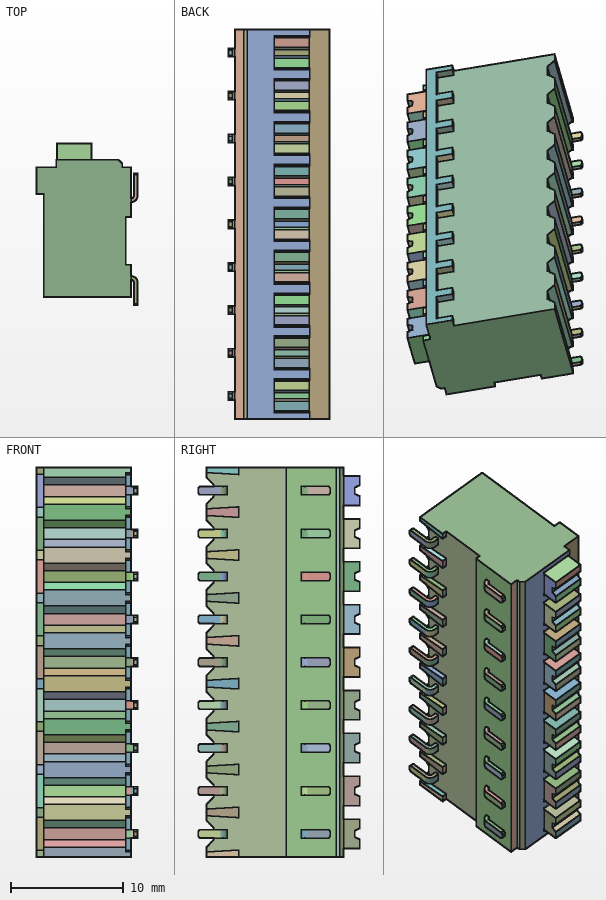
import cadquery as cq


height = 34.68
pole_count = 9
pitch = 3.8
first_pole_z = (height - (pole_count - 1) * pitch) / 2
pole_heights = [first_pole_z + i * pitch for i in range(pole_count)]

housing_left = 0.65
housing_right = 8.43
housing_front = 0.73
housing_back = 12.28
recess_depth = 0.45
recess_right = housing_right - recess_depth
recess_front = 3.6
recess_back = 7.85

ridge_left = 1.77
ridge_right = 7.65
ridge_back = 12.95
ridge_corner_cut = 0.35

rail_front = 11.35
rail_tab_front = 9.9
rail_window_width = 2.95

entry_depth = 0.65
entry_mouth = 2.4
entry_floor = 1.05

foot_gap_front_width = 3.23
foot_gap_back_width = 2.88

lever_left = 1.85
lever_right = 4.92
lever_back = 14.4
lever_width = 2.65
slot_mouth = 3.0
slot_floor = 2.8
notch_depth = 0.45
notch_mouth = 0.97
notch_floor = 0.55

pin_right = 9.0
pin_thickness = 0.35
pin_width = 0.75
pin_foot_length = 2.6
pin_bend_inner_radius = 0.25
pin_embed = 0.35
pin_tip_taper_length = 0.15
pin_tip_taper_width = 0.17
front_pin_tip = 0.0
back_pin_tip = 11.75


def box(x_range, y_range, z_range):
    """Axis-aligned block between pairs of limits."""
    (x0, x1), (y0, y1), (z0, z1) = x_range, y_range, z_range
    return cq.Workplane("XY").box(x1 - x0, y1 - y0, z1 - z0, centered=False).translate((x0, y0, z0))


def centred(middle, width):
    """Limits of a span of the given width about its middle."""
    return middle - width / 2, middle + width / 2


def trapezoid_bar(x_range, y_start, y_end, start_width, end_width, z):
    """Bar along X whose Z width changes from y_start to y_end."""
    outline = [
        (y_start, z - start_width / 2),
        (y_end, z - end_width / 2),
        (y_end, z + end_width / 2),
        (y_start, z + start_width / 2),
    ]
    x0, x1 = x_range
    return cq.Workplane("YZ", origin=(x0, 0, 0)).polyline(outline).close().extrude(x1 - x0)


def make_housing():
    """Full-height housing section including the left rail and the back ridge."""
    outline = [
        (housing_left, housing_front),
        (housing_right, housing_front),
        (housing_right, recess_front),
        (recess_right, recess_front),
        (recess_right, recess_back),
        (housing_right, recess_back),
        (housing_right, housing_back),
        (ridge_right, housing_back),
        (ridge_right, ridge_back - ridge_corner_cut),
        (ridge_right - ridge_corner_cut, ridge_back),
        (ridge_left, ridge_back),
        (ridge_left, housing_back),
        (0, housing_back),
        (0, rail_tab_front),
        (housing_left, rail_tab_front),
    ]
    return cq.Workplane("XY").polyline(outline).close().extrude(height)


def make_pole_cuts(z):
    """Wire entry, foot gap, rail window and lever slot of one pole."""
    entry_back = housing_front + entry_depth
    entry_span = (housing_left, housing_right)
    entry = trapezoid_bar(entry_span, housing_front, entry_back, entry_mouth, entry_floor, z)
    foot_span = (recess_right, housing_right)
    foot_gap = trapezoid_bar(
        foot_span, housing_front, recess_front, foot_gap_front_width, foot_gap_back_width, z
    )
    rail_window = box((0, housing_left), (rail_tab_front, rail_front), centred(z, rail_window_width))
    lever_slot = trapezoid_bar((ridge_left, lever_right), ridge_back, housing_back, slot_mouth, slot_floor, z)
    return [entry, foot_gap, rail_window, lever_slot]


def make_lever(z):
    """Press lever with a notch across its end."""
    span = (lever_left, lever_right)
    lever = box(span, (housing_back, lever_back), centred(z, lever_width))
    return lever.cut(trapezoid_bar(span, lever_back, lever_back - notch_depth, notch_mouth, notch_floor, z))


def make_pin(z, tip_y, direction):
    """Bent pin whose foot runs from tip_y along Y in the given direction (+1 or -1)."""
    heel_y = tip_y + direction * pin_foot_length
    inner_y = heel_y - direction * pin_thickness
    inner_x = pin_right - pin_thickness
    inner_r = pin_bend_inner_radius
    outer_r = inner_r + pin_thickness
    root_x = recess_right - pin_embed
    bend_x = inner_x - inner_r
    bend_y = inner_y - direction * inner_r
    diagonal = 0.5 ** 0.5
    pin = (
        cq.Workplane("XY", origin=(0, 0, z - pin_width / 2))
        .moveTo(root_x, inner_y)
        .lineTo(bend_x, inner_y)
        .threePointArc(
            (bend_x + inner_r * diagonal, bend_y + direction * inner_r * diagonal),
            (inner_x, bend_y),
        )
        .lineTo(inner_x, tip_y)
        .lineTo(pin_right, tip_y)
        .lineTo(pin_right, bend_y)
        .threePointArc(
            (bend_x + outer_r * diagonal, bend_y + direction * outer_r * diagonal),
            (bend_x, heel_y),
        )
        .lineTo(root_x, heel_y)
        .close()
        .extrude(pin_width)
    )
    taper_y = tip_y + direction * pin_tip_taper_length
    for side in (-1, 1):
        edge_z = z + side * pin_width / 2
        taper = (
            cq.Workplane("YZ", origin=(inner_x, 0, 0))
            .polyline([(tip_y, edge_z), (taper_y, edge_z), (tip_y, edge_z - side * pin_tip_taper_width)])
            .close()
            .extrude(pin_thickness)
        )
        pin = pin.cut(taper)
    return pin


result = make_housing()
for pole_z in pole_heights:
    for cutter in make_pole_cuts(pole_z):
        result = result.cut(cutter)
for pole_z in pole_heights:
    result = result.union(make_lever(pole_z))
    result = result.union(make_pin(pole_z, front_pin_tip, 1))
    result = result.union(make_pin(pole_z, back_pin_tip, -1))